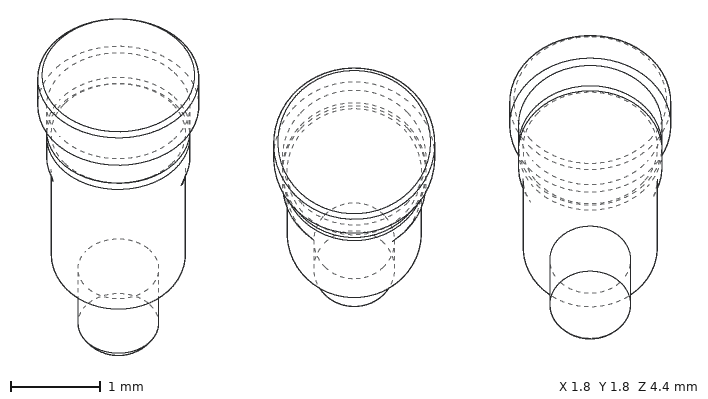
import cadquery as cq
import math

total_length = 4.4
flange_diameter = 1.8
collar_diameter = 1.6
barrel_diameter = 1.5
pin_diameter = 0.9

flange_height = 0.5
flange_chamfer = 0.05
groove_width = 0.1
groove_depth = (collar_diameter - barrel_diameter) / 2
barrel_fillet = 0.25
dome_height = 0.3

groove_center_depth = 0.96
taper_start_depth = 1.355
taper_end_depth = 1.555
barrel_end_depth = 3.2

flange_radius = flange_diameter / 2
collar_radius = collar_diameter / 2
barrel_radius = barrel_diameter / 2
pin_radius = pin_diameter / 2

flange_bottom = total_length - flange_height
groove_center = total_length - groove_center_depth
groove_top = groove_center + groove_width / 2
groove_bottom = groove_center - groove_width / 2
taper_top = total_length - taper_start_depth
taper_bottom = total_length - taper_end_depth
barrel_bottom = total_length - barrel_end_depth

dome_radius = (pin_radius**2 + dome_height**2) / (2 * dome_height)
half_dome_angle = math.asin(pin_radius / dome_radius) / 2
dome_middle = (
    dome_radius * math.sin(half_dome_angle),
    dome_radius * (1 - math.cos(half_dome_angle)),
)

fillet_offset = barrel_fillet * (1 - math.sqrt(0.5))
fillet_middle = (barrel_radius - fillet_offset, barrel_bottom + fillet_offset)

profile = (
    cq.Workplane("XZ")
    .moveTo(0, total_length)
    .lineTo(flange_radius - flange_chamfer, total_length)
    .lineTo(flange_radius, total_length - flange_chamfer)
    .lineTo(flange_radius, flange_bottom)
    .lineTo(collar_radius, flange_bottom)
    .lineTo(collar_radius, groove_top)
    .lineTo(collar_radius - groove_depth, groove_center)
    .lineTo(collar_radius, groove_bottom)
    .lineTo(collar_radius, taper_top)
    .lineTo(barrel_radius, taper_bottom)
    .lineTo(barrel_radius, barrel_bottom + barrel_fillet)
    .threePointArc(fillet_middle, (barrel_radius - barrel_fillet, barrel_bottom))
    .lineTo(pin_radius, barrel_bottom)
    .lineTo(pin_radius, dome_height)
    .threePointArc(dome_middle, (0, 0))
    .close()
)

full_turn = 360
solid = profile.revolve(full_turn, (0, 0, 0), (0, 1, 0))

result = solid.translate((0, 0, -total_length / 2))